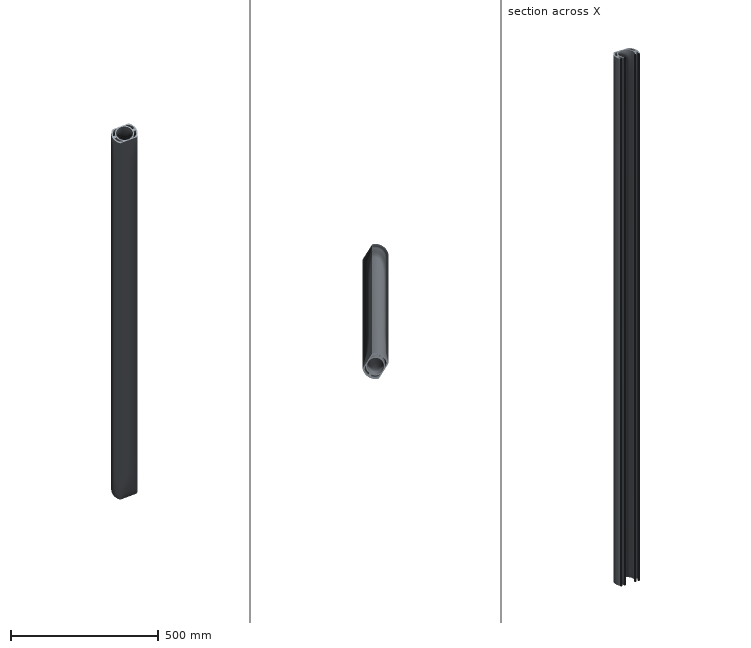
import cadquery as cq

OUTER_DIAMETER = 90.0
WIDTH_ACROSS_FLATS = 65.0
LENGTH = 2000.0
FLAT_WALL = 4.0
ROUND_WALL = 5.0
CHAMBER_CORNER_RADIUS = 20.0
WEB_THICKNESS = 10.0

TUBE_OUTER_DIAMETER = WIDTH_ACROSS_FLATS
BORE_DIAMETER = TUBE_OUTER_DIAMETER - 2 * FLAT_WALL


def round_bar(diameter):
    """Full-length cylinder along Z, centred on the origin."""
    return cq.Workplane("XY").circle(diameter / 2).extrude(LENGTH / 2, both=True)


def flatted_bar(diameter, width):
    """Full-length round bar trimmed to two parallel flats facing -X and +X."""
    envelope = cq.Workplane("XY").box(width, diameter, LENGTH)
    return round_bar(diameter).intersect(envelope)


def chambers():
    """Four hollow chambers between shell and inner tube, split by webs on the Y axis."""
    inside_diameter = OUTER_DIAMETER - 2 * ROUND_WALL
    inside_width = WIDTH_ACROSS_FLATS - 2 * FLAT_WALL
    inside = flatted_bar(inside_diameter, inside_width)
    inside = inside.edges("|Z and (<X or >X)").fillet(CHAMBER_CORNER_RADIUS)
    web = cq.Workplane("XY").box(WEB_THICKNESS, inside_diameter, LENGTH)
    return inside.cut(round_bar(TUBE_OUTER_DIAMETER)).cut(web)


body = flatted_bar(OUTER_DIAMETER, WIDTH_ACROSS_FLATS)
result = body.cut(chambers()).cut(round_bar(BORE_DIAMETER))